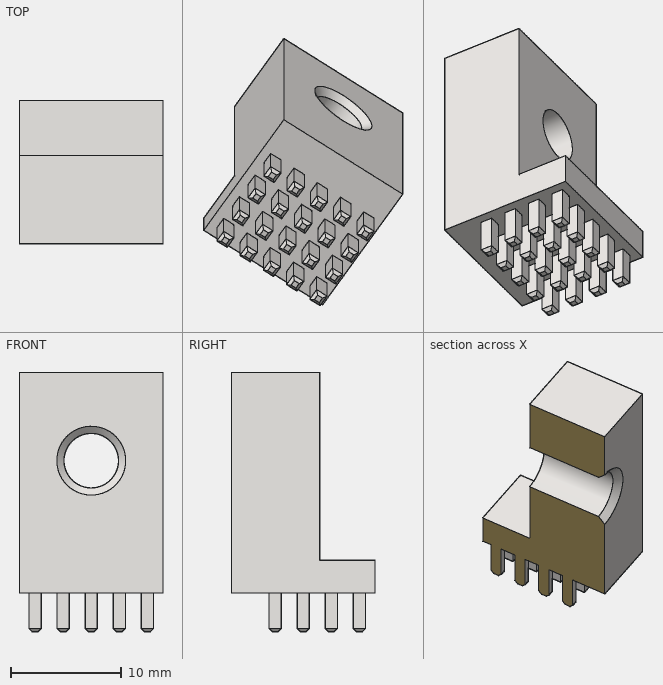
import cadquery as cq

BODY_WIDTH = 13.0
BASE_DEPTH = 13.0
BASE_HEIGHT = 3.0
UPRIGHT_DEPTH = 8.0
BODY_HEIGHT = 20.0

HOLE_DIAMETER = 4.92
COUNTERSINK_DIAMETER = 6.24
HOLE_BELOW_TOP = 8.0

PIN_PITCH = 2.54
PIN_COLUMNS = range(-2, 3)
PIN_ROWS = range(-1, 3)
PIN_SIZE = 1.13
PIN_LENGTH = 3.5
PIN_TIP_CHAMFER = 0.3

FRONT_Y = -BASE_DEPTH / 2
BACK_Y = BASE_DEPTH / 2
UPRIGHT_BACK_Y = FRONT_Y + UPRIGHT_DEPTH


def make_body():
    """L-shaped block: an upright at the front with a low ledge behind it."""
    return (
        cq.Workplane("YZ")
        .moveTo(FRONT_Y, 0)
        .lineTo(BACK_Y, 0)
        .lineTo(BACK_Y, BASE_HEIGHT)
        .lineTo(UPRIGHT_BACK_Y, BASE_HEIGHT)
        .lineTo(UPRIGHT_BACK_Y, BODY_HEIGHT)
        .lineTo(FRONT_Y, BODY_HEIGHT)
        .close()
        .extrude(BODY_WIDTH / 2, both=True)
    )


def make_hole_cutter():
    """Through hole along Y with a 45 degree countersink in the front face."""
    hole_radius = HOLE_DIAMETER / 2
    countersink_radius = COUNTERSINK_DIAMETER / 2
    countersink_depth = countersink_radius - hole_radius
    half_section = (
        cq.Workplane("XY")
        .moveTo(0, FRONT_Y)
        .lineTo(countersink_radius, FRONT_Y)
        .lineTo(hole_radius, FRONT_Y + countersink_depth)
        .lineTo(hole_radius, UPRIGHT_BACK_Y)
        .lineTo(0, UPRIGHT_BACK_Y)
        .close()
    )
    cutter = half_section.revolve(360, (0, 0, 0), (0, 1, 0))
    return cutter.translate((0, 0, BODY_HEIGHT - HOLE_BELOW_TOP))


def make_pins():
    """Grid of square pins with chamfered tips, hanging below the body."""
    centres = [
        (column * PIN_PITCH, row * PIN_PITCH)
        for column in PIN_COLUMNS
        for row in PIN_ROWS
    ]
    return (
        cq.Workplane("XY")
        .pushPoints(centres)
        .rect(PIN_SIZE, PIN_SIZE)
        .extrude(-PIN_LENGTH)
        .faces("<Z")
        .chamfer(PIN_TIP_CHAMFER)
    )


result = make_body().cut(make_hole_cutter()).union(make_pins())